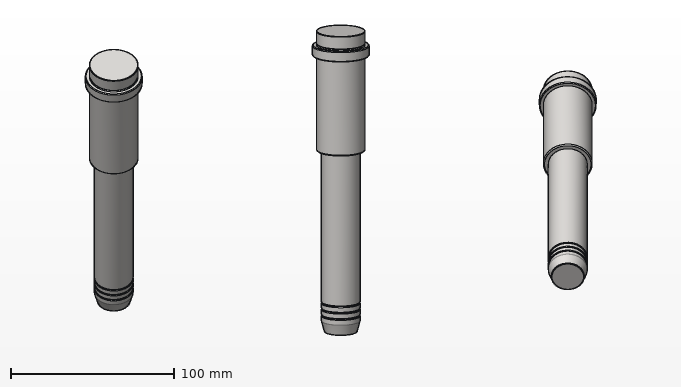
import cadquery as cq

total_length = 190.0
collar_radius = 17.5
body_radius = 15.0
shaft_radius = 12.0
tip_radius = 10.0

collar_top = 181.0
collar_bottom = 174.5
body_bottom = 114.4
taper_top = 7.0

collar_chamfer = 0.5
body_chamfer = 0.8
tip_chamfer = 0.4
head_chamfer = 0.4

relief_depth = 0.5
relief_height = 1.1

groove_count = 3
groove_pitch = 4.0
groove_depth = 0.4
groove_height = 1.1
lowest_groove_height = 10.6


def cylinder(radius, bottom, top):
    return cq.Workplane("XY").workplane(offset=bottom).circle(radius).extrude(top - bottom)


def ring_groove(outer_radius, depth, bottom, height):
    """V-shaped ring cutter, deepest halfway up."""
    profile = (
        cq.Workplane("XZ")
        .moveTo(outer_radius, bottom)
        .lineTo(outer_radius - depth, bottom + height / 2)
        .lineTo(outer_radius, bottom + height)
        .close()
    )
    return profile.revolve(360, (0, 0, 0), (0, 1, 0))


taper = (
    cq.Workplane("XY")
    .circle(tip_radius)
    .workplane(offset=taper_top)
    .circle(shaft_radius)
    .loft(ruled=True)
    .faces("<Z")
    .chamfer(tip_chamfer)
)
shaft = cylinder(shaft_radius, taper_top, body_bottom)

body = cylinder(body_radius, body_bottom, total_length)
body = body.faces("<Z").chamfer(body_chamfer).faces(">Z").chamfer(head_chamfer)
collar = cylinder(collar_radius, collar_bottom, collar_top).edges().chamfer(collar_chamfer)

result = taper.union(shaft).union(body).union(collar)
result = result.cut(ring_groove(body_radius, relief_depth, collar_top, relief_height))

for index in range(groove_count):
    groove_bottom = lowest_groove_height + index * groove_pitch - groove_height / 2
    result = result.cut(ring_groove(shaft_radius, groove_depth, groove_bottom, groove_height))